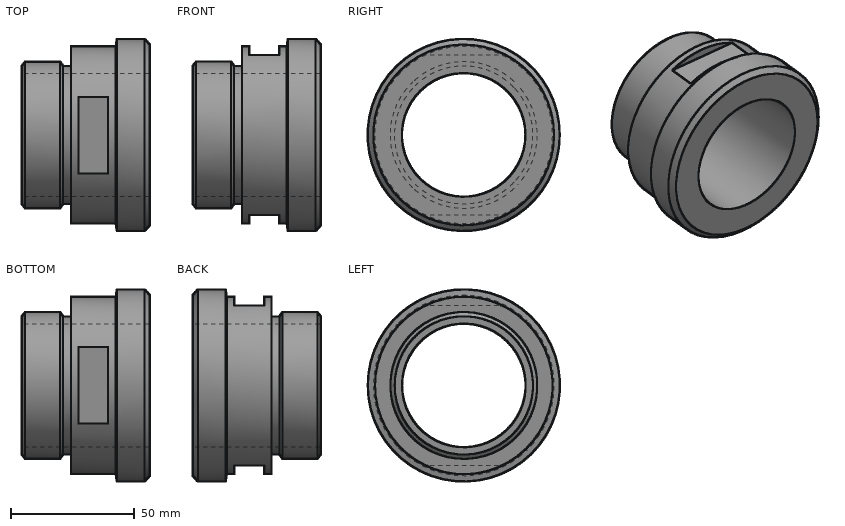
import cadquery as cq

length = 52.0
bore_diameter = 50.0
spigot_diameter = 59.6
neck_diameter = 56.1
body_diameter = 72.0
flange_diameter = 78.0

spigot_end = 15.6
neck_end = 20.0
flange_start = 38.15

spigot_chamfer_length = 1.5
neck_taper_length = 1.25
flange_front_taper_length = 0.5
flange_back_chamfer_length = 2.1
flange_back_chamfer_depth = 2.35

flat_spacing = 65.0
flat_start = 23.0
flat_length = 12.1

bore_radius = bore_diameter / 2
spigot_radius = spigot_diameter / 2
neck_radius = neck_diameter / 2
body_radius = body_diameter / 2
flange_radius = flange_diameter / 2


def turned_body():
    """Revolve the half section (axial station, radius) about the X axis."""
    half_section = [
        (0, bore_radius),
        (0, neck_radius),
        (spigot_chamfer_length, spigot_radius),
        (spigot_end, spigot_radius),
        (spigot_end + neck_taper_length, neck_radius),
        (neck_end, neck_radius),
        (neck_end, body_radius),
        (flange_start, body_radius),
        (flange_start + flange_front_taper_length, flange_radius),
        (length - flange_back_chamfer_length, flange_radius),
        (length, flange_radius - flange_back_chamfer_depth),
        (length, bore_radius),
    ]
    return cq.Workplane("XY").polyline(half_section).close().revolve(360, (0, 0, 0), (1, 0, 0))


def flat_cutter(side):
    """Block that cuts one flat on the top (side = 1) or bottom (side = -1)."""
    depth = body_radius - flat_spacing / 2
    center_x = flat_start + flat_length / 2
    center_z = side * (flat_spacing / 2 + depth / 2)
    return cq.Workplane("XY").box(flat_length, body_diameter, depth).translate((center_x, 0, center_z))


result = turned_body()
for side in (1, -1):
    result = result.cut(flat_cutter(side))